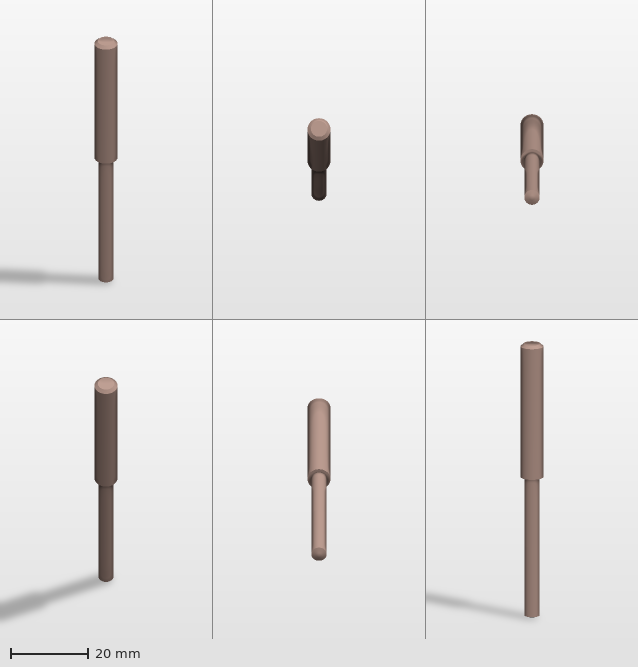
import cadquery as cq
import math

total_length = 74.0
shank_diameter = 6.0
shank_length = 36.0
tool_diameter = 4.0

cutting_length = 19.5
point_angle = 140.0

end_face_diameter = 4.2
end_taper_height = 0.75

shank_radius = shank_diameter / 2
tool_radius = tool_diameter / 2
end_face_radius = end_face_diameter / 2
point_height = tool_radius / math.tan(math.radians(point_angle / 2))
bottom_z = -total_length / 2
top_z = total_length / 2
joint_z = bottom_z + cutting_length
shoulder_z = top_z - shank_length


def revolve_profile(points):
    """Turn a closed (radius, height) outline once around the Z axis."""
    return cq.Workplane("XZ").polyline(points).close().revolve(360, (0, 0), (0, 1))


def make_cutting_end():
    """Cylinder with a conical drill point at its lower end."""
    return revolve_profile([
        (0, bottom_z),
        (tool_radius, bottom_z + point_height),
        (tool_radius, joint_z),
        (0, joint_z),
    ])


def make_holder():
    """Neck and thicker shank in one piece, with a taper around the top face."""
    return revolve_profile([
        (0, joint_z),
        (tool_radius, joint_z),
        (tool_radius, shoulder_z),
        (shank_radius, shoulder_z),
        (shank_radius, top_z - end_taper_height),
        (end_face_radius, top_z),
        (0, top_z),
    ])


cutting_end = make_cutting_end()
holder = make_holder()

result = cq.Compound.makeCompound([cutting_end.val(), holder.val()])